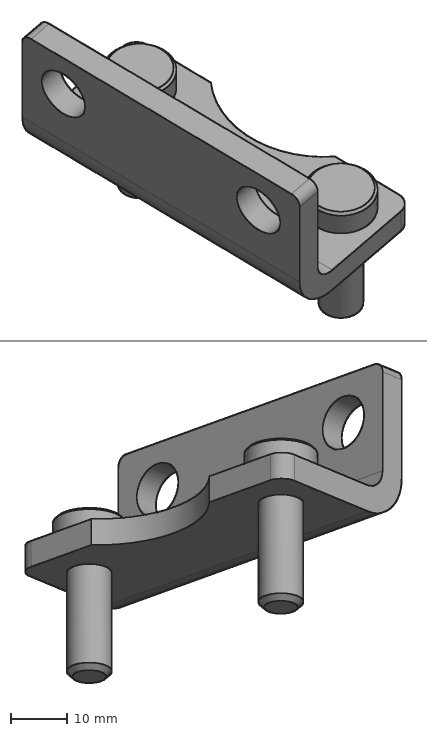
import cadquery as cq

width = 64.0
depth = 31.0
bracket_height = 30.0
thickness = 5.0
inner_bend_radius = 4.0
outer_bend_radius = inner_bend_radius + thickness
wall_corner_radius = 2.0
base_corner_radius = 3.0

hole_diameter = 10.0
hole_spacing = 45.0
hole_drop = 9.0

relief_radius = 20.0
relief_depth = 6.0

pin_spacing = 46.4
pin_inset = 9.0
pin_diameter = 8.0
pin_length = 20.0
pin_chamfer = 1.0
head_diameter = 13.0
head_height = 5.0
head_chamfer = 0.5


def make_bracket():
    """L-section with its outer front bottom corner at Y = 0, Z = 0, centred on X."""
    profile = (
        cq.Workplane("YZ")
        .moveTo(outer_bend_radius, 0)
        .lineTo(depth, 0)
        .lineTo(depth, thickness)
        .lineTo(outer_bend_radius, thickness)
        .radiusArc((thickness, outer_bend_radius), inner_bend_radius)
        .lineTo(thickness, bracket_height)
        .lineTo(0, bracket_height)
        .lineTo(0, outer_bend_radius)
        .radiusArc((outer_bend_radius, 0), -outer_bend_radius)
        .close()
    )
    bracket = profile.extrude(width / 2, both=True)
    bracket = bracket.faces(">Z").edges("|Y").fillet(wall_corner_radius)
    return bracket.faces(">Y").edges("|Z").fillet(base_corner_radius)


def make_wall_holes():
    hole_height = bracket_height - hole_drop
    return (
        cq.Workplane("XZ")
        .pushPoints([(side * hole_spacing / 2, hole_height) for side in (-1, 1)])
        .circle(hole_diameter / 2)
        .extrude(-thickness)
    )


def make_relief():
    center_y = depth - relief_depth + relief_radius
    return cq.Workplane("XY").center(0, center_y).circle(relief_radius).extrude(thickness)


def make_pin(x):
    """Pin with a chamfered tip and a chamfered head resting on the base."""
    y = depth - pin_inset
    shank = (
        cq.Workplane("XY", origin=(x, y, -pin_length))
        .circle(pin_diameter / 2)
        .extrude(pin_length + thickness)
        .faces("<Z")
        .chamfer(pin_chamfer)
    )
    head = (
        cq.Workplane("XY", origin=(x, y, thickness))
        .circle(head_diameter / 2)
        .extrude(head_height)
        .faces(">Z")
        .chamfer(head_chamfer)
    )
    return shank.union(head)


result = make_bracket().cut(make_wall_holes()).cut(make_relief())
for side in (-1, 1):
    result = result.union(make_pin(side * pin_spacing / 2))